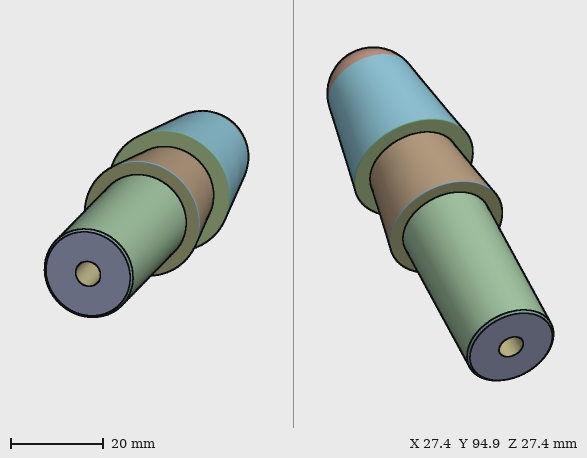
import cadquery as cq
import math

overall_length = 94.9
shank_length = 40.0
lower_cone_length = 20.0

shank_radius = 10.0
shank_chamfer = 0.5

upper_rim_radius = 13.75
lower_rim_radius = 13.05
rim_fillet = 0.2

nose_radius = 10.0

hole_radius = 2.8
hole_depth = 15.0
drill_half_angle = math.radians(59.0)

upper_cone_start = shank_length + lower_cone_length
nose_center = overall_length - nose_radius

rim_to_nose_center = nose_center - upper_cone_start
center_to_rim = math.hypot(rim_to_nose_center, upper_rim_radius)
cone_half_angle = math.acos(nose_radius / center_to_rim) - math.atan2(rim_to_nose_center, upper_rim_radius)

neck_radius = lower_rim_radius - lower_cone_length * math.tan(cone_half_angle)


def revolve_about_y(profile):
    """Spin a closed half profile, drawn as (Y, radius), about the Y axis."""
    return profile.close().revolve(360, (0, 0, 0), (1, 0, 0))


def nose_point(angle):
    """Point on the nose arc, at an angle up from the nose equator."""
    return (nose_center + nose_radius * math.sin(angle), nose_radius * math.cos(angle))


def make_body():
    """Shank, two barb cones and the domed nose, with sharp rims."""
    nose_mid_angle = (cone_half_angle + math.pi / 2) / 2
    profile = (
        cq.Workplane("YZ")
        .moveTo(0, 0)
        .lineTo(0, shank_radius - shank_chamfer)
        .lineTo(shank_chamfer, shank_radius)
        .lineTo(shank_length, shank_radius)
        .lineTo(shank_length, lower_rim_radius)
        .lineTo(upper_cone_start, neck_radius)
        .lineTo(upper_cone_start, upper_rim_radius)
        .lineTo(*nose_point(cone_half_angle))
        .threePointArc(nose_point(nose_mid_angle), (overall_length, 0))
    )
    return revolve_about_y(profile)


def round_rims(body):
    """Round the wide rim of each cone, the only circles wider than the shank and neck."""
    widest_inner_radius = max(shank_radius, neck_radius)
    smallest_rim_radius = (widest_inner_radius + lower_rim_radius) / 2
    rims = body.edges("%CIRCLE").filter(lambda edge: edge.radius() > smallest_rim_radius)
    return rims.fillet(rim_fillet)


def make_hole():
    """Drilled hole along Y with a conical bottom."""
    tip_depth = hole_depth + hole_radius / math.tan(drill_half_angle)
    profile = cq.Workplane("YZ").polyline(
        [(0, 0), (0, hole_radius), (hole_depth, hole_radius), (tip_depth, 0)]
    )
    return revolve_about_y(profile)


result = round_rims(make_body()).cut(make_hole())